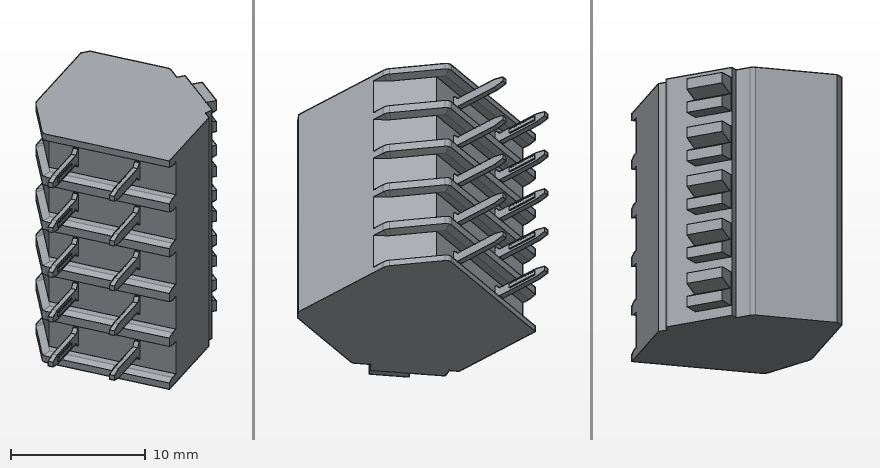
import cadquery as cq
import math

body_width = 12.7
body_depth = 12.87
body_height = 19.44
rear_chamfer = 0.5
bevel_run = 2.4
bevel_rise = 4.08
bevel_toe_radius = 0.5
bevel_heel_radius = 0.97

shoulder_x = 7.02
shoulder_radius = 0.5
notch_drop = 1.0
seat_step = 0.47
nose_x = 12.46
nose_radius = 0.2
nose_undercut_x = 12.17
nose_undercut_y = 7.75

pole_count = 5
pole_pitch = 3.81
recess_depth = 1.19
rib_edge_thickness = 0.7
rib_flare = 0.17
rib_flare_width = 0.58
rib_reach = 7.78

pin_x_first = 4.59
pin_spacing = 5.0
pin_thickness = 0.39
pin_length = 3.5
pin_width = 0.8
pin_tip_width = 0.4
pin_tip_length = 0.8
neck_width = 1.5
neck_front_y = 1.07
neck_taper_end_y = 0.75
pin_embed = 0.2
pad_start = 0.21
pad_end = 2.6
pad_width = 0.35
pad_height = 0.1

lever_length = 3.0
lever_height = 1.32
lever_width = 2.65
lever_offset = 0.087
groove_width = 1.01
groove_depth = 1.17
lever_embed = 0.2

notch_x = shoulder_x + notch_drop
notch_y = body_depth - notch_drop
seat_x = notch_x + seat_step
seat_y = notch_y + seat_step
nose_y = seat_y - (nose_x - seat_x)
side_top_y = nose_undercut_y - (body_width - nose_undercut_x)

pole_heights = [body_height / 2 + (i - (pole_count - 1) / 2) * pole_pitch for i in range(pole_count)]
rib_heights = [pole_heights[0] + (i - 0.5) * pole_pitch for i in range(pole_count + 1)]


def round_edge(solid, x, y, radius):
    """Fillet the upright edge that passes through (x, y)."""
    edge = cq.selectors.NearestToPointSelector((x, y, solid.val().Center().z))
    return solid.edges("|Z").edges(edge).fillet(radius)


def make_housing(front_y):
    """Full-height housing whose pin face lies at front_y."""
    housing = (
        cq.Workplane("XY")
        .moveTo(bevel_run, front_y)
        .lineTo(body_width, front_y)
        .lineTo(body_width, side_top_y)
        .lineTo(nose_undercut_x, nose_undercut_y)
        .lineTo(nose_x, nose_y)
        .lineTo(seat_x, seat_y)
        .lineTo(notch_x, notch_y)
        .lineTo(shoulder_x, body_depth)
        .lineTo(rear_chamfer, body_depth)
        .lineTo(0, body_depth - rear_chamfer)
        .lineTo(0, front_y + bevel_rise)
        .close()
        .extrude(body_height)
    )
    housing = round_edge(housing, shoulder_x, body_depth, shoulder_radius)
    return round_edge(housing, nose_x, nose_y, nose_radius)


def make_rib():
    """Rib centred on Z = 0, flaring on both sides; its toe is sharp and it overruns the housing at +X."""
    overrun_x = body_width + 2 * rib_flare_width
    plate = (
        cq.Workplane("XY")
        .polyline([
            (bevel_run, 0),
            (overrun_x, 0),
            (overrun_x, rib_reach),
            (0, rib_reach),
            (0, bevel_rise),
        ])
        .close()
        .extrude(rib_edge_thickness / 2)
    )
    plate = round_edge(plate, 0, bevel_rise, bevel_heel_radius)
    flare_angle = math.degrees(math.atan2(rib_flare_width, rib_flare))
    flare = plate.faces(">Z").wires().toPending().workplane().extrude(rib_flare, taper=flare_angle, combine=False)
    half = plate.union(flare)
    return half.union(half.mirror("XY"))


def make_pin(x, z, inward):
    """Flat pin with a wide neck, a pointed tip and a strip on its inward face."""
    half_profile = [
        (recess_depth + pin_embed, neck_width / 2),
        (neck_front_y, neck_width / 2),
        (neck_taper_end_y, pin_width / 2),
        (pin_tip_length - pin_length, pin_width / 2),
        (-pin_length, pin_tip_width / 2),
    ]
    other_half = [(y, -half_width) for y, half_width in reversed(half_profile)]
    blade = (
        cq.Workplane("YZ")
        .polyline(half_profile + other_half)
        .close()
        .extrude(pin_thickness / 2, both=True)
    )
    pad = (
        cq.Workplane("XY")
        .box(pin_thickness / 2 + pad_height, pad_end - pad_start, pad_width)
        .translate((inward * (pin_thickness / 2 + pad_height) / 2, -(pad_start + pad_end) / 2, 0))
    )
    return blade.union(pad).translate((x, 0, z))


def make_lever(z):
    """Block standing square on the 45 degree seat, with a V groove along its top."""
    block = (
        cq.Workplane("XY")
        .box(lever_length, lever_height + lever_embed, lever_width, centered=(False, False, True))
        .translate((lever_offset, -lever_embed, 0))
    )
    groove = (
        cq.Workplane("YZ")
        .polyline([
            (lever_height, groove_width / 2),
            (lever_height, -groove_width / 2),
            (lever_height - groove_depth, 0),
        ])
        .close()
        .extrude(lever_offset + lever_length)
    )
    return block.cut(groove).rotate((0, 0, 0), (0, 0, 1), -45).translate((seat_x, seat_y, z))


rib = make_rib()
ribs = cq.Workplane("XY")
for rib_z in rib_heights:
    ribs = ribs.union(rib.translate((0, 0, rib_z)))
ribs = ribs.intersect(round_edge(make_housing(0), bevel_run, 0, bevel_toe_radius))

result = make_housing(recess_depth).union(ribs)
for pole_z in pole_heights:
    result = result.union(make_pin(pin_x_first, pole_z, 1))
    result = result.union(make_pin(pin_x_first + pin_spacing, pole_z, -1))
    result = result.union(make_lever(pole_z))